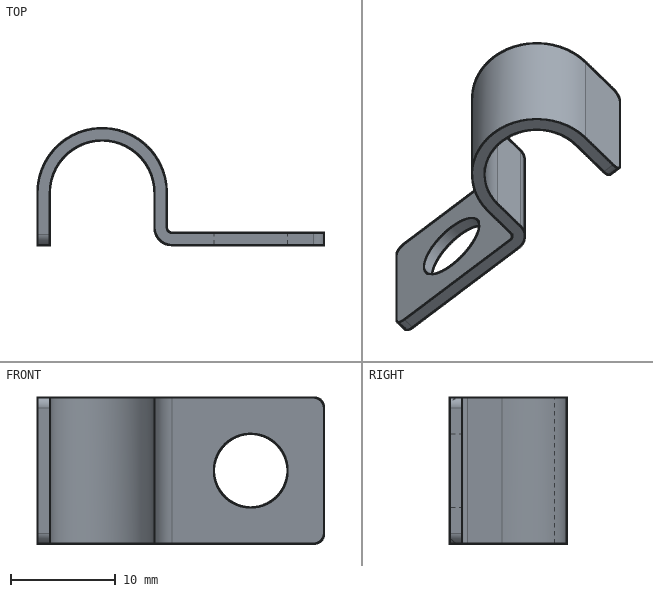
import cadquery as cq

length = 27.4
width = 14.0
thickness = 1.2

loop_outer_radius = 6.2
leg_length = 5.01
bend_inner_radius = 0.5
corner_radius = 1.01
hole_diameter = 7.01
hole_to_flange_end = 7.01

loop_inner_radius = loop_outer_radius - thickness
bend_outer_radius = bend_inner_radius + thickness
flange_end = length - loop_outer_radius
flange_outer_y = -leg_length
flange_inner_y = flange_outer_y + thickness
bend_center_x = loop_outer_radius + bend_inner_radius
bend_center_y = flange_inner_y + bend_inner_radius


def bend_arc(sketch, end, radius):
    """Draw a quarter arc of the flange bend, bulging toward -X and -Y."""
    diagonal = radius * 0.5**0.5
    middle = (bend_center_x - diagonal, bend_center_y - diagonal)
    return sketch.threePointArc(middle, end)


def make_strip():
    """Bent strip: free leg, half-round loop, second leg, bend and flange."""
    outline = (
        cq.Workplane("XY")
        .moveTo(-loop_outer_radius, -leg_length)
        .lineTo(-loop_outer_radius, 0)
        .threePointArc((0, loop_outer_radius), (loop_outer_radius, 0))
        .lineTo(loop_outer_radius, bend_center_y)
    )
    outline = bend_arc(outline, (bend_center_x, flange_inner_y), bend_inner_radius)
    outline = (
        outline.lineTo(flange_end, flange_inner_y)
        .lineTo(flange_end, flange_outer_y)
        .lineTo(bend_center_x, flange_outer_y)
    )
    outline = bend_arc(outline, (loop_inner_radius, bend_center_y), bend_outer_radius)
    outline = (
        outline.lineTo(loop_inner_radius, 0)
        .threePointArc((0, loop_inner_radius), (-loop_inner_radius, 0))
        .lineTo(-loop_inner_radius, -leg_length)
        .close()
    )
    return outline.extrude(width / 2, both=True)


def round_end_corners(strip):
    """Round the corners of the flange end and of the free leg end."""
    strip = strip.faces(">X").edges("|Y").fillet(corner_radius)
    free_end = cq.selectors.BoxSelector(
        (-loop_outer_radius - thickness, -leg_length - thickness, -width),
        (-loop_inner_radius + thickness, -leg_length + thickness, width),
    )
    return strip.faces("<Y").edges("|X").edges(free_end).fillet(corner_radius)


def make_screw_hole():
    """Cylinder that cuts the screw hole through the flange."""
    return (
        cq.Workplane("XZ", origin=(0, flange_inner_y, 0))
        .center(flange_end - hole_to_flange_end, 0)
        .circle(hole_diameter / 2)
        .extrude(thickness)
    )


result = round_end_corners(make_strip()).cut(make_screw_hole())